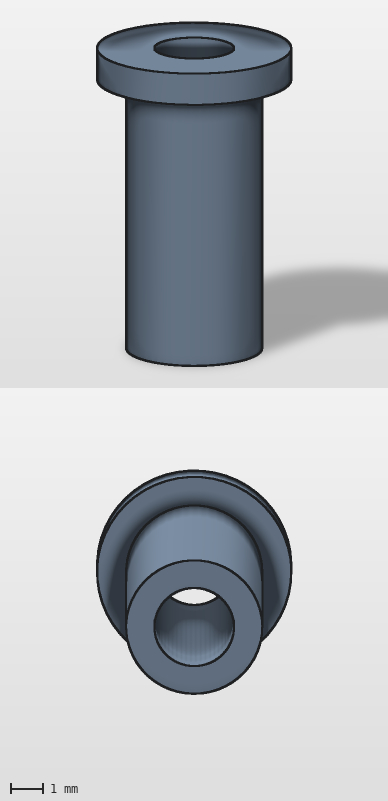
import cadquery as cq

total_height = 9.6
flange_diameter = 6.0
flange_thickness = 1.0
barrel_diameter = 4.2
bore_diameter = 2.46

barrel_height = total_height - flange_thickness
barrel = cq.Workplane("XY").circle(barrel_diameter / 2).extrude(barrel_height)

bushing = barrel.faces(">Z").workplane().circle(flange_diameter / 2).extrude(flange_thickness)

result = bushing.faces(">Z").workplane().hole(bore_diameter)